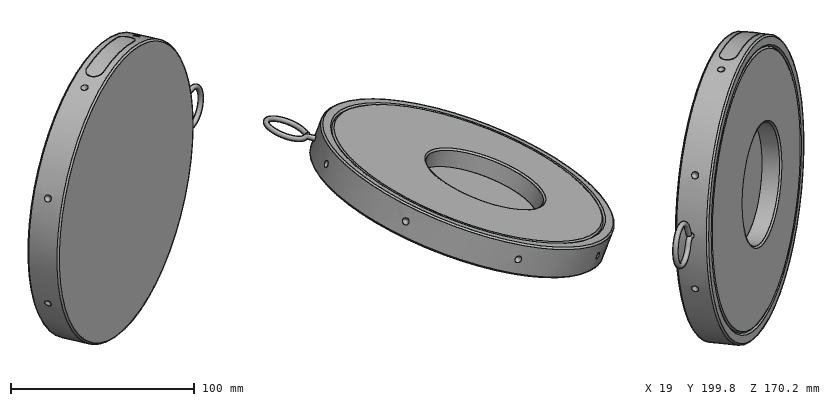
import cadquery as cq
import math

body_diameter = 170.0
body_thickness = 19.0
body_radius = body_diameter / 2
front_x = -body_thickness / 2
edge_chamfer = 1.0

groove_radius = 78.5
groove_depth = 1.0

recess_diameter = 68.0
recess_offset_y = -10.0
recess_depth = 11.0
recess_chamfer = 1.0

rim_dimple_count = 8
rim_dimple_diameter = 4.0
rim_dimple_depth = 2.0
rim_dimple_step = 360.0 / rim_dimple_count

pad_length = 49.0
pad_width = 10.0
pad_height = 0.2

wire_diameter = 3.0
eye_inner_diameter = 20.0
eye_tip_y = 114.81
bend_inner_diameter = 6.0
free_end_angle = 33.0
free_end_length = 5.0
shank_embed = 5.0


def make_body():
    disc = cq.Workplane("YZ").workplane(offset=front_x).circle(body_radius).extrude(body_thickness)
    return disc.faces("<X or >X").edges().chamfer(edge_chamfer)


def make_groove():
    profile = [
        (front_x, groove_radius - groove_depth),
        (front_x, groove_radius + groove_depth),
        (front_x + groove_depth, groove_radius),
    ]
    return cq.Workplane("XY").polyline(profile).close().revolve(360, (0, 0, 0), (1, 0, 0))


def make_recess():
    radius = recess_diameter / 2
    profile = [
        (front_x, 0),
        (front_x, radius + recess_chamfer),
        (front_x + recess_chamfer, radius),
        (front_x + recess_depth, radius),
        (front_x + recess_depth, 0),
    ]
    recess = cq.Workplane("XY").polyline(profile).close().revolve(360, (0, 0, 0), (1, 0, 0))
    return recess.translate((0, recess_offset_y, 0))


def make_rim_dimple(angle):
    tip_z = body_radius - rim_dimple_depth
    base_z = body_radius + rim_dimple_depth
    profile = [(0, tip_z), (rim_dimple_diameter, base_z), (0, base_z)]
    dimple = cq.Workplane("XZ").polyline(profile).close().revolve(360, (0, 0, 0), (0, 1, 0))
    return dimple.rotate((0, 0, 0), (1, 0, 0), angle)


def make_pad():
    prism = cq.Workplane("XY").slot2D(pad_length, pad_width, 90).extrude(body_diameter)
    sleeve = (
        cq.Workplane("YZ")
        .workplane(offset=front_x)
        .circle(body_radius + pad_height)
        .circle(body_radius - edge_chamfer)
        .extrude(body_thickness)
    )
    return prism.intersect(sleeve)


def make_eye():
    wire_radius = wire_diameter / 2
    eye_radius = eye_inner_diameter / 2 + wire_radius
    bend_radius = bend_inner_diameter / 2 + wire_radius
    eye_y = eye_tip_y - eye_radius - wire_radius

    def eye_point(angle):
        turn = math.radians(angle)
        return (eye_y - eye_radius * math.cos(turn), eye_radius * math.sin(turn))

    bend_y = eye_y - math.sqrt((eye_radius + bend_radius) ** 2 - bend_radius**2)
    bend_turn = math.acos(bend_radius / (eye_radius + bend_radius))
    joint_angle = math.degrees(bend_turn) - 90
    bend_middle = (
        bend_y + bend_radius * math.sin(bend_turn / 2),
        bend_radius * (math.cos(bend_turn / 2) - 1),
    )

    free_turn = math.radians(free_end_angle)
    arc_end = eye_point(free_end_angle)
    free_end = (
        arc_end[0] - free_end_length * math.sin(free_turn),
        arc_end[1] - free_end_length * math.cos(free_turn),
    )

    shank_start_y = body_radius - shank_embed
    path = (
        cq.Workplane("YZ")
        .moveTo(shank_start_y, 0)
        .lineTo(bend_y, 0)
        .threePointArc(bend_middle, eye_point(joint_angle))
        .threePointArc(eye_point(180), arc_end)
        .lineTo(*free_end)
    )
    section = cq.Workplane("XZ", origin=(0, shank_start_y, 0)).circle(wire_radius)
    return section.sweep(path)


result = make_body().cut(make_groove()).cut(make_recess())
result = result.union(make_pad())
for index in range(rim_dimple_count):
    result = result.cut(make_rim_dimple((index + 0.5) * rim_dimple_step))
result = result.union(make_eye())